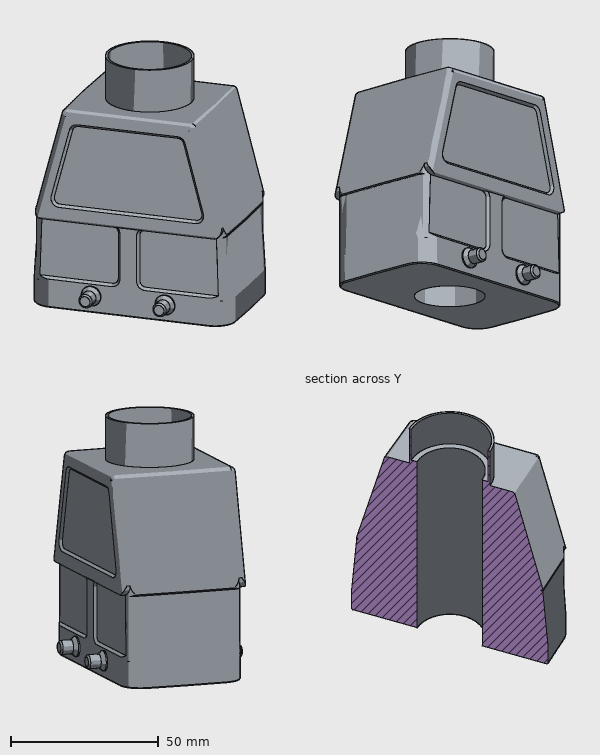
import cadquery as cq
import math

TOTAL_HEIGHT = 86.6
COLLAR_HEIGHT = 15.0
HOUSING_TOP = TOTAL_HEIGHT - COLLAR_HEIGHT

BASE_HALF_LENGTH = 36.3
BASE_HALF_DEPTH = 21.5
BASE_CORNER_RADIUS = 7.5
BASE_TOP_CORNER_RADIUS = 6.0
RIM_HEIGHT = 9.2
RIM_CHAMFER = 0.4

HOUSING_HALF_DEPTH = 22.5
HOUSING_BOTTOM = 31.7
HOUSING_TOP_HALF_LENGTH = 24.0
END_ANGLE = math.radians(15)
HOUSING_EDGE_RADIUS = 2.0
HOUSING_END_TOP_RADIUS = 1.5
SHOULDER = 32.6
NOTCH_RADIUS = 2.9
LIP_RADIUS = 0.7
END_DRAFT = math.tan(math.radians(1.0))

RECESS_DEPTH = 0.9
RECESS_WALL_TAPER = 45
WEB_HALF_WIDTH = 3.0
POCKET_BOTTOM = 10.2
POCKET_TOP = HOUSING_BOTTOM + RECESS_DEPTH
POCKET_LOWER_RADIUS = 3.0
POCKET_UPPER_RADIUS = 3.2
POCKET_END_OVERRUN = 5.0
PANEL_BOTTOM = 36.7
PANEL_TOP = 67.1
PANEL_END_MARGIN = 5.0
PANEL_CORNER_RADIUS = 3.0

CORE_HALF_DEPTH = BASE_HALF_DEPTH - RECESS_DEPTH
CORE_CORNER_RADIUS = 2.8

COLLAR_DIAMETER = 30.0
COLLAR_BORE = 28.3
COLLAR_BORE_DEPTH = 13.5
CABLE_HOLE = 24.0

PIN_X = 13.3
PIN_Z = 6.0
PIN_RADIUS = 2.4
PIN_TIP = 27.8
PIN_TIP_CHAMFER = 0.6
PIN_FOOT_RADIUS = 3.5
PIN_FOOT_HEIGHT = 0.5
PIN_FOOT_END = 23.4


def housing_half_length(z):
    """Half length of the sloping housing ends at height z, on the mid plane."""
    return HOUSING_TOP_HALF_LENGTH + math.tan(END_ANGLE) * (HOUSING_TOP - z)


def end_drafted_block(profile, half_depth):
    """Block symmetric in X and Y from (half length, z) points; its ends taper toward +Y and -Y."""
    def section(setback):
        right = [(x - setback, z) for x, z in profile]
        left = [(-x, z) for x, z in reversed(right)]
        return right + left

    half = (
        cq.Workplane("XZ")
        .polyline(section(0)).close()
        .workplane(offset=half_depth)
        .polyline(section(END_DRAFT * half_depth)).close()
        .loft(ruled=True)
    )
    return half.union(half.mirror("XZ"))


def corner_edges(block, half_depth):
    """Edges that run up the four outer corners of an end-drafted block."""
    tolerance = 0.01

    def on_corner(edge):
        box = edge.BoundingBox()
        centre = edge.Center()
        on_wall = abs(abs(centre.y) - half_depth) < tolerance and box.ylen < tolerance
        return on_wall and box.zlen > tolerance

    return block.newObject([edge for edge in block.edges().vals() if on_corner(edge)])


def both_walls(front_feature):
    return front_feature.union(front_feature.mirror("XZ"))


def base_outline(half_length, corner_radius):
    """Horizontal section of the base: a rounded rectangle with slightly bowed ends."""
    corner_x = half_length - END_DRAFT * BASE_HALF_DEPTH
    outline = [
        (half_length, 0),
        (corner_x, BASE_HALF_DEPTH),
        (-corner_x, BASE_HALF_DEPTH),
        (-half_length, 0),
        (-corner_x, -BASE_HALF_DEPTH),
        (corner_x, -BASE_HALF_DEPTH),
        (half_length, 0),
    ]
    return cq.Sketch().polygon(outline).vertices(">Y or <Y").fillet(corner_radius).reset()


def make_base():
    bottom_outline = base_outline(BASE_HALF_LENGTH, BASE_CORNER_RADIUS)
    top_outline = base_outline(housing_half_length(SHOULDER), BASE_TOP_CORNER_RADIUS)
    rise = cq.Location(cq.Vector(0, 0, HOUSING_BOTTOM - RIM_HEIGHT))
    rim = cq.Workplane("XY").placeSketch(bottom_outline).extrude(RIM_HEIGHT)
    rim = rim.faces("<Z").edges().chamfer(RIM_CHAMFER)
    walls = (
        cq.Workplane("XY", origin=(0, 0, RIM_HEIGHT))
        .placeSketch(bottom_outline, top_outline.moved(rise))
        .loft(ruled=True)
    )
    return rim.union(walls)


def make_pockets():
    """Recesses on both sides of the central web, open toward the ends."""
    outer_x = BASE_HALF_LENGTH + POCKET_END_OVERRUN
    right = (
        cq.Workplane("XZ", origin=(0, -BASE_HALF_DEPTH, 0))
        .moveTo(outer_x, POCKET_BOTTOM)
        .lineTo(WEB_HALF_WIDTH + POCKET_LOWER_RADIUS, POCKET_BOTTOM)
        .radiusArc((WEB_HALF_WIDTH, POCKET_BOTTOM + POCKET_LOWER_RADIUS), POCKET_LOWER_RADIUS)
        .lineTo(WEB_HALF_WIDTH, POCKET_TOP - POCKET_UPPER_RADIUS)
        .radiusArc((WEB_HALF_WIDTH + POCKET_UPPER_RADIUS, POCKET_TOP), POCKET_UPPER_RADIUS)
        .lineTo(outer_x, POCKET_TOP)
        .close()
        .extrude(-RECESS_DEPTH, taper=RECESS_WALL_TAPER)
    )
    return both_walls(right.union(right.mirror("YZ")))


def make_column(top):
    """Upright rounded block behind the recesses, from the rim band up to the given height."""
    shoulder = housing_half_length(SHOULDER)
    column = end_drafted_block([(shoulder, RIM_HEIGHT), (shoulder, top)], CORE_HALF_DEPTH)
    return corner_edges(column, CORE_HALF_DEPTH).fillet(CORE_CORNER_RADIUS)


def make_notches():
    """Rounded undercuts below the four lower housing corners, outside the core column."""
    corner_x = housing_half_length(HOUSING_BOTTOM) - END_DRAFT * HOUSING_HALF_DEPTH
    setback = NOTCH_RADIUS * math.tan((math.pi / 2 + END_ANGLE) / 2)
    arc_top_x = corner_x - setback * math.sin(END_ANGLE)
    arc_top_z = HOUSING_BOTTOM + setback * math.cos(END_ANGLE)
    outer_x = BASE_HALF_LENGTH
    right = (
        cq.Workplane("XZ", origin=(0, CORE_CORNER_RADIUS - CORE_HALF_DEPTH, 0))
        .moveTo(corner_x - setback, HOUSING_BOTTOM)
        .radiusArc((arc_top_x, arc_top_z), -NOTCH_RADIUS)
        .lineTo(outer_x, arc_top_z)
        .lineTo(outer_x, HOUSING_BOTTOM)
        .close()
        .extrude(HOUSING_HALF_DEPTH)
    )
    return both_walls(right.union(right.mirror("YZ"))).cut(make_column(HOUSING_TOP))


def make_housing():
    profile = [(housing_half_length(z), z) for z in (HOUSING_BOTTOM, HOUSING_TOP)]
    housing = end_drafted_block(profile, HOUSING_HALF_DEPTH)
    slanted_edges = corner_edges(housing, HOUSING_HALF_DEPTH)
    long_top_edges = housing.faces(">Z").edges("|X")
    housing = slanted_edges.add(long_top_edges).fillet(HOUSING_EDGE_RADIUS)
    housing = housing.faces(">Z").edges("not |X").fillet(HOUSING_END_TOP_RADIUS)
    housing = housing.faces("<Z").edges("|X").fillet(LIP_RADIUS)

    shoulder = housing_half_length(SHOULDER)
    upright_ends = end_drafted_block([(shoulder, 0), (shoulder, TOTAL_HEIGHT)], TOTAL_HEIGHT)
    return housing.intersect(upright_ends).cut(make_notches())


def make_panels():
    """Shallow trapezoidal recesses in the front and back of the housing."""
    profile = [
        (housing_half_length(z) - PANEL_END_MARGIN, z) for z in (PANEL_BOTTOM, PANEL_TOP)
    ]
    outline = profile + [(-x, z) for x, z in reversed(profile)]
    sketch = cq.Sketch().polygon(outline + outline[:1]).vertices().fillet(PANEL_CORNER_RADIUS)
    panel = (
        cq.Workplane("XZ", origin=(0, -HOUSING_HALF_DEPTH, 0))
        .placeSketch(sketch)
        .extrude(-RECESS_DEPTH, taper=RECESS_WALL_TAPER)
    )
    return both_walls(panel)


def make_pins():
    """Four pins with a flared foot and a chamfered tip, two on each long wall."""
    foot_y = BASE_HALF_DEPTH + PIN_FOOT_HEIGHT
    outline = (
        cq.Workplane("XY")
        .moveTo(0, CORE_HALF_DEPTH)
        .lineTo(PIN_FOOT_RADIUS, CORE_HALF_DEPTH)
        .lineTo(PIN_FOOT_RADIUS, foot_y)
        .lineTo(PIN_RADIUS, PIN_FOOT_END)
        .lineTo(PIN_RADIUS, PIN_TIP - PIN_TIP_CHAMFER)
        .lineTo(PIN_RADIUS - PIN_TIP_CHAMFER, PIN_TIP)
        .lineTo(0, PIN_TIP)
        .close()
    )
    pin = outline.revolve(360, (0, 0, 0), (0, 1, 0)).translate((0, 0, PIN_Z))
    pair = pin.translate((PIN_X, 0, 0)).union(pin.translate((-PIN_X, 0, 0)))
    return both_walls(pair)


def cylinder(diameter, bottom, top):
    return cq.Workplane("XY", origin=(0, 0, bottom)).circle(diameter / 2).extrude(top - bottom)


result = (
    make_base()
    .cut(make_pockets())
    .union(make_column(HOUSING_BOTTOM))
    .union(make_housing().cut(make_panels()))
    .union(make_pins())
    .union(cylinder(COLLAR_DIAMETER, HOUSING_BOTTOM, TOTAL_HEIGHT))
    .cut(cylinder(COLLAR_BORE, TOTAL_HEIGHT - COLLAR_BORE_DEPTH, TOTAL_HEIGHT))
    .cut(cylinder(CABLE_HOLE, 0, TOTAL_HEIGHT))
)